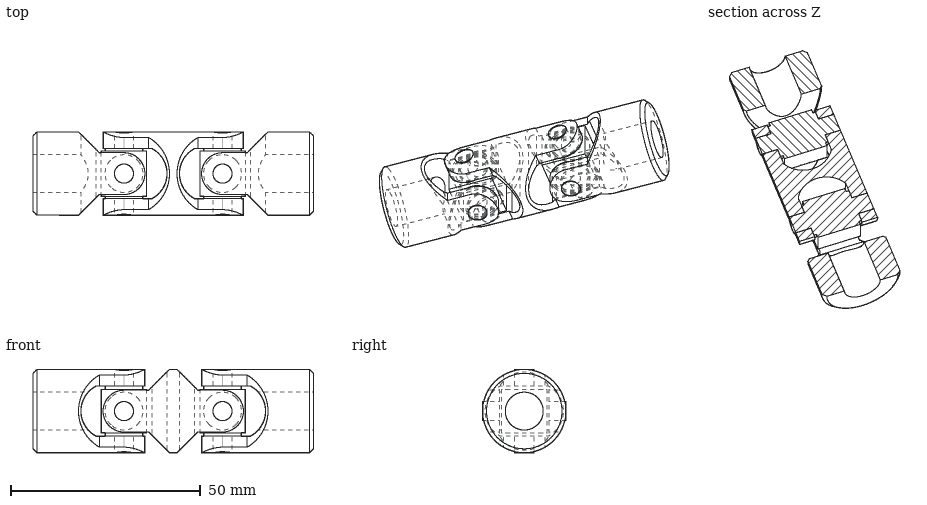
import cadquery as cq


total_length = 74.0
body_diameter = 22.0
body_radius = body_diameter / 2
pivot_spacing = 26.0
pivot_offset = pivot_spacing / 2

bore_diameter = 10.0
end_chamfer = 1.0

arm_width = 11.0
arm_half_width = arm_width / 2
shoulder_distance = 12.0
flare_run = body_radius - arm_half_width

slot_height = 13.2
slot_half_height = slot_height / 2
slot_depth = 11.3
slot_floor_radius = 7.5
slot_floor_centre = slot_floor_radius - slot_depth
slot_floor_edge = slot_floor_centre - (slot_floor_radius**2 - slot_half_height**2) ** 0.5

pin_diameter = 5.0
boss_diameter = 10.0
block_side = 12.0
block_height = 11.5


def along_x(diameter, start, length):
    """Round bar on the X axis."""
    return cq.Workplane("YZ", origin=(start, 0, 0)).circle(diameter / 2).extrude(length)


def across_joint(plane, diameter, length):
    """Round bar through the pivot, centred on it, square to the given plane."""
    return cq.Workplane(plane).circle(diameter / 2).extrude(length / 2, both=True)


def arm_prism(back_length):
    """Full-width back that flares down at 45 degrees to an arm with a round end."""
    return (
        cq.Workplane("XY")
        .moveTo(-back_length, -body_radius)
        .lineTo(-shoulder_distance, -body_radius)
        .lineTo(-shoulder_distance + flare_run, -arm_half_width)
        .lineTo(0, -arm_half_width)
        .threePointArc((arm_half_width, 0), (0, arm_half_width))
        .lineTo(-shoulder_distance + flare_run, arm_half_width)
        .lineTo(-shoulder_distance, body_radius)
        .lineTo(-back_length, body_radius)
        .close()
        .extrude(body_radius, both=True)
    )


def fork_slot():
    """Opening between the arms, running through along Y."""
    return (
        cq.Workplane("XZ")
        .moveTo(body_radius, -slot_half_height)
        .lineTo(slot_floor_edge, -slot_half_height)
        .threePointArc((-slot_depth, 0), (slot_floor_edge, slot_half_height))
        .lineTo(body_radius, slot_half_height)
        .close()
        .extrude(body_radius, both=True)
    )


def make_fork(back_length):
    """Fork with its pivot at the origin, arms above and below pointing to +X."""
    blank = along_x(body_diameter, -back_length, back_length + body_radius)
    pin_hole = across_joint("XY", pin_diameter, body_diameter)
    return blank.intersect(arm_prism(back_length)).cut(fork_slot()).cut(pin_hole)


def make_end_yoke():
    """Fork with a chamfered back face and a bore that opens into the slot."""
    back_length = total_length / 2 - pivot_offset
    fork = make_fork(back_length).faces("<X").edges().chamfer(end_chamfer)
    return fork.cut(along_x(bore_diameter, -back_length, back_length))


def make_double_fork():
    """Two forks back to back, with arms on the -Y and +Y sides."""
    fork = make_fork(pivot_offset).translate((pivot_offset, 0, 0))
    return fork.union(fork.mirror("YZ")).rotate((0, 0, 0), (1, 0, 0), 90)


def make_cross():
    """Block with a boss and a pin towards each of the four arms around it."""
    cross = cq.Workplane("XY").box(block_side, block_side, block_height)
    for plane in ("XY", "XZ"):
        cross = cross.union(across_joint(plane, boss_diameter, slot_height))
        cross = cross.union(across_joint(plane, pin_diameter, body_diameter))
    return cross


end_yoke = make_end_yoke()
cross = make_cross()
double_fork = make_double_fork()

end_yokes = []
crosses = []
for pivot_x, turn in ((-pivot_offset, 0), (pivot_offset, 180)):
    end_yokes.append(end_yoke.rotate((0, 0, 0), (0, 0, 1), turn).translate((pivot_x, 0, 0)))
    crosses.append(cross.translate((pivot_x, 0, 0)))

bodies = [double_fork, *end_yokes, *crosses]
result = cq.Compound.makeCompound([body.solids().val() for body in bodies])